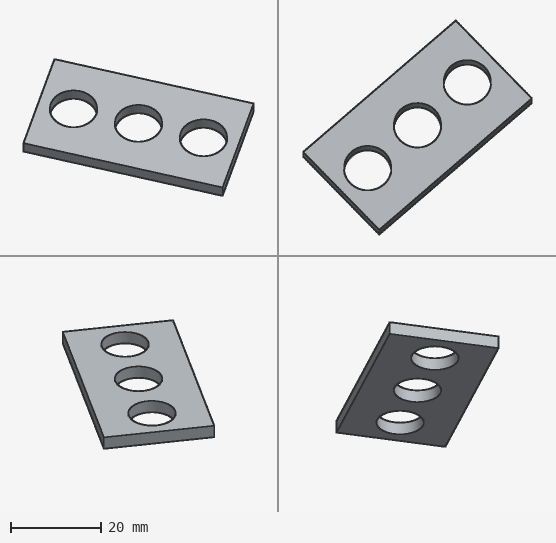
import cadquery as cq

length = 46.0
width = 25.0
thickness = 3.0

hole_count = 3
hole_diameter = 10.5
hole_pitch = 15.0


def make_plate():
    """Flat rectangular plate centred on the origin."""
    return cq.Workplane("XY").box(length, width, thickness)


def cut_hole_row(plate):
    """Cut the evenly spaced holes, centred on the plate, through its thickness."""
    return (
        plate.faces(">Z")
        .workplane()
        .rarray(hole_pitch, width, hole_count, 1)
        .hole(hole_diameter)
    )


result = cut_hole_row(make_plate())